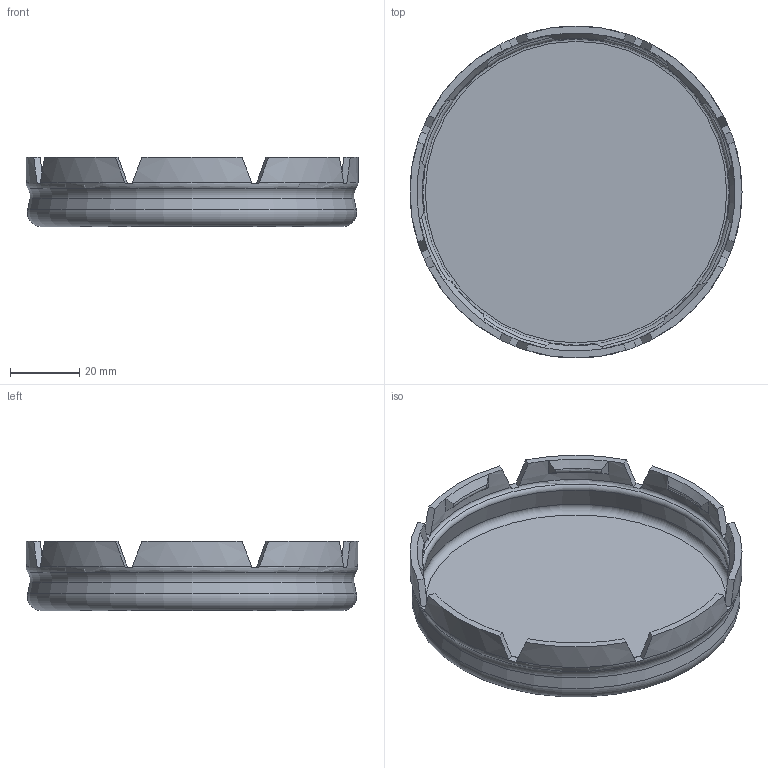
import math

import cadquery as cq

height = 20.0
rim_radius = 48.0
wall = 2.0
base_flat_radius = 43.6
base_edge_radius = 4.0
flank_angle = math.radians(12.0)

outer_flank_top_z = 8.1
outer_neck_radius = 3.5
outer_shoulder_radius = 3.2
inner_flank_top_z = 10.3
inner_neck_radius = 1.3
inner_shoulder_radius = 1.1

tab_count = 8
tab_pitch = 360.0 / tab_count
slot_floor_z = 12.4
slot_floor_half_width = 1.1
slot_top_half_width = 4.1

rim_inner_radius = rim_radius - wall
catch_nose_radius = 1.0
catch_nose_inset = 0.65
catch_nose_z = 17.2
catch_foot_z = 15.4
catch_turn = -0.85
catch_half_width = 8.65
catch_end_angle = math.radians(57.0)


def polar(centre, radius, angle):
    """Point on a circle in the (radius, z) half plane."""
    return (centre[0] + radius * math.cos(angle), centre[1] + radius * math.sin(angle))


def skin_solid(inset, flank_top_z, neck_radius, shoulder_radius):
    """Solid of revolution inside one skin of the shell, lying inset from the outer size."""
    base_centre = (base_flat_radius, base_edge_radius)
    base_arc_radius = base_edge_radius - inset
    flank_start = polar(base_centre, base_arc_radius, flank_angle)
    flank_rise = flank_top_z - flank_start[1]
    flank_end = (flank_start[0] - flank_rise * math.tan(flank_angle), flank_top_z)

    skin_radius = rim_radius - inset
    neck_centre = polar(flank_end, neck_radius, flank_angle)
    centre_distance = neck_radius + shoulder_radius
    turn_angle = math.acos((neck_centre[0] - skin_radius + shoulder_radius) / centre_distance)
    shoulder_centre = polar(neck_centre, centre_distance, math.pi - turn_angle)

    base_mid_angle = (flank_angle - math.pi / 2) / 2
    neck_mid_angle = math.pi + (flank_angle - turn_angle) / 2

    profile = (
        cq.Workplane("XZ")
        .moveTo(0, inset)
        .lineTo(base_flat_radius, inset)
        .threePointArc(polar(base_centre, base_arc_radius, base_mid_angle), flank_start)
        .lineTo(*flank_end)
        .threePointArc(
            polar(neck_centre, neck_radius, neck_mid_angle),
            polar(neck_centre, neck_radius, math.pi - turn_angle),
        )
        .threePointArc(
            polar(shoulder_centre, shoulder_radius, -turn_angle / 2),
            polar(shoulder_centre, shoulder_radius, 0),
        )
        .lineTo(skin_radius, height)
        .lineTo(0, height)
        .close()
    )
    return profile.revolve(360, (0, 0, 0), (0, 1, 0))


def slot_cutter():
    """Trapezoidal prism running outward along +X through the rim."""
    return (
        cq.Workplane("YZ")
        .polyline(
            [
                (-slot_floor_half_width, slot_floor_z),
                (slot_floor_half_width, slot_floor_z),
                (slot_top_half_width, height),
                (-slot_top_half_width, height),
            ]
        )
        .close()
        .extrude(rim_radius + wall)
    )


def catch():
    """Snap catch centred on +X: lead-in ramp, rounded nose and slanted ends."""
    nose_centre = (rim_inner_radius - catch_nose_inset, catch_nose_z)
    head_rise = height - catch_nose_z
    head_angle = math.atan2(head_rise, catch_nose_inset)
    ramp_end_angle = head_angle + math.acos(catch_nose_radius / math.hypot(catch_nose_inset, head_rise))
    foot_drop = catch_nose_z - catch_foot_z
    foot_angle = -math.atan2(foot_drop, catch_nose_inset)
    underside_angle = foot_angle - math.acos(catch_nose_radius / math.hypot(catch_nose_inset, foot_drop))
    root_r = rim_inner_radius + wall / 2
    ring = (
        cq.Workplane("XZ")
        .moveTo(root_r, height)
        .lineTo(rim_inner_radius, height)
        .lineTo(*polar(nose_centre, catch_nose_radius, ramp_end_angle))
        .threePointArc(
            polar(nose_centre, catch_nose_radius, math.pi),
            polar(nose_centre, catch_nose_radius, underside_angle),
        )
        .lineTo(rim_inner_radius, catch_foot_z)
        .lineTo(root_r, catch_foot_z)
        .close()
        .revolve(360, (0, 0, 0), (0, 1, 0))
    )

    wall_x = math.sqrt(rim_inner_radius**2 - catch_half_width**2)
    inner_x = wall_x - 2 * wall
    inner_half_width = catch_half_width - (wall_x - inner_x) * math.tan(catch_end_angle)
    outline = (
        cq.Workplane("XY")
        .polyline(
            [
                (inner_x, -inner_half_width),
                (wall_x, -catch_half_width),
                (rim_radius, -catch_half_width),
                (rim_radius, catch_half_width),
                (wall_x, catch_half_width),
                (inner_x, inner_half_width),
            ]
        )
        .close()
        .extrude(height)
    )
    return ring.intersect(outline)


outer_body = skin_solid(0, outer_flank_top_z, outer_neck_radius, outer_shoulder_radius)
cavity = skin_solid(wall, inner_flank_top_z, inner_neck_radius, inner_shoulder_radius)
result = outer_body.cut(cavity)

for tab in range(tab_count):
    tab_angle = tab * tab_pitch
    slot_angle = tab_angle + tab_pitch / 2
    result = result.cut(slot_cutter().rotate((0, 0, 0), (0, 0, 1), slot_angle))
    result = result.union(catch().rotate((0, 0, 0), (0, 0, 1), tab_angle + catch_turn))